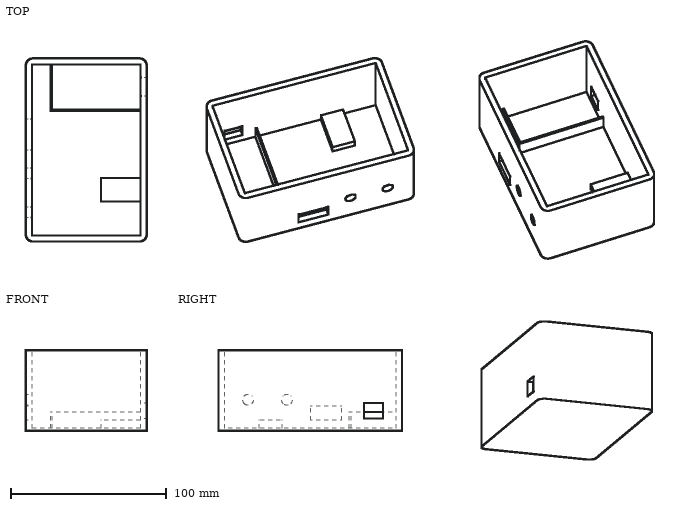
import cadquery as cq

LENGTH_X = 78.0
LENGTH_Y = 118.0
HEIGHT = 52.0
CORNER_RADIUS = 5.0
WALL = 4.0
FLOOR = 2.0

INNER_RIGHT = LENGTH_X / 2 - WALL
INNER_BACK = LENGTH_Y / 2 - WALL
INNER_FRONT = -INNER_BACK

PARTITION_THICKNESS = 1.0
PARTITION_HEIGHT = 10.0
COMPARTMENT_X = 57.0
COMPARTMENT_Y = 28.9

BLOCK_X = 25.5
BLOCK_Y = 15.0
BLOCK_HEIGHT = 5.0
BLOCK_FROM_FRONT = 22.0

HOLE_DIAMETER = 7.0
HOLE_Z = 20.1
FIRST_HOLE_Y = -40.0
HOLE_PITCH = 25.0
HOLE_COUNT = 2

LEFT_WINDOW_Y = 10.0
LEFT_WINDOW_Z = 11.7
LEFT_WINDOW_WIDTH = 20.1
LEFT_WINDOW_HEIGHT = 9.0

RIGHT_WINDOW_WIDTH = 12.0
RIGHT_WINDOW_HEIGHT = 10.0
RIGHT_WINDOW_FROM_BACK = 8.3
RIGHT_WINDOW_BOTTOM = 8.0


def box_between(low, high):
    """Box spanning two opposite corners."""
    size = [b - a for a, b in zip(low, high)]
    return cq.Workplane("XY").box(*size, centered=False).translate(low)


def open_box():
    """Rounded outer block with a sharp-cornered cavity open at the top."""
    outer = (
        cq.Workplane("XY")
        .box(LENGTH_X, LENGTH_Y, HEIGHT, centered=(True, True, False))
        .edges("|Z")
        .fillet(CORNER_RADIUS)
    )
    cavity = box_between(
        (-INNER_RIGHT, INNER_FRONT, FLOOR),
        (INNER_RIGHT, INNER_BACK, HEIGHT),
    )
    return outer.cut(cavity)


def partition():
    """Thin L-shaped wall joining the right and back walls; its foot is sunk in the floor."""
    top = FLOOR + PARTITION_HEIGHT
    inner_x = INNER_RIGHT - COMPARTMENT_X
    inner_y = INNER_BACK - COMPARTMENT_Y
    outer_corner = (inner_x - PARTITION_THICKNESS, inner_y - PARTITION_THICKNESS, 0)
    solid = box_between(outer_corner, (INNER_RIGHT, INNER_BACK, top))
    compartment = box_between((inner_x, inner_y, FLOOR), (INNER_RIGHT, INNER_BACK, top))
    return solid.cut(compartment)


def support_block():
    """Rectangular block on the floor against the right wall."""
    front = INNER_FRONT + BLOCK_FROM_FRONT
    return box_between(
        (INNER_RIGHT - BLOCK_X, front, 0),
        (INNER_RIGHT, front + BLOCK_Y, FLOOR + BLOCK_HEIGHT),
    )


def left_wall_holes():
    """Row of round holes through the left wall."""
    centres = [(FIRST_HOLE_Y + i * HOLE_PITCH, HOLE_Z) for i in range(HOLE_COUNT)]
    return (
        cq.Workplane("YZ", origin=(-LENGTH_X / 2, 0, 0))
        .pushPoints(centres)
        .circle(HOLE_DIAMETER / 2)
        .extrude(WALL)
    )


def left_window():
    """Rectangular opening through the left wall."""
    return (
        cq.Workplane("YZ", origin=(-LENGTH_X / 2, LEFT_WINDOW_Y, LEFT_WINDOW_Z))
        .rect(LEFT_WINDOW_WIDTH, LEFT_WINDOW_HEIGHT)
        .extrude(WALL)
    )


def right_window():
    """Rectangular opening through the right wall, into the compartment."""
    back = INNER_BACK - RIGHT_WINDOW_FROM_BACK
    return box_between(
        (INNER_RIGHT, back - RIGHT_WINDOW_WIDTH, RIGHT_WINDOW_BOTTOM),
        (LENGTH_X / 2, back, RIGHT_WINDOW_BOTTOM + RIGHT_WINDOW_HEIGHT),
    )


result = (
    open_box()
    .union(partition())
    .union(support_block())
    .cut(left_wall_holes())
    .cut(left_window())
    .cut(right_window())
)